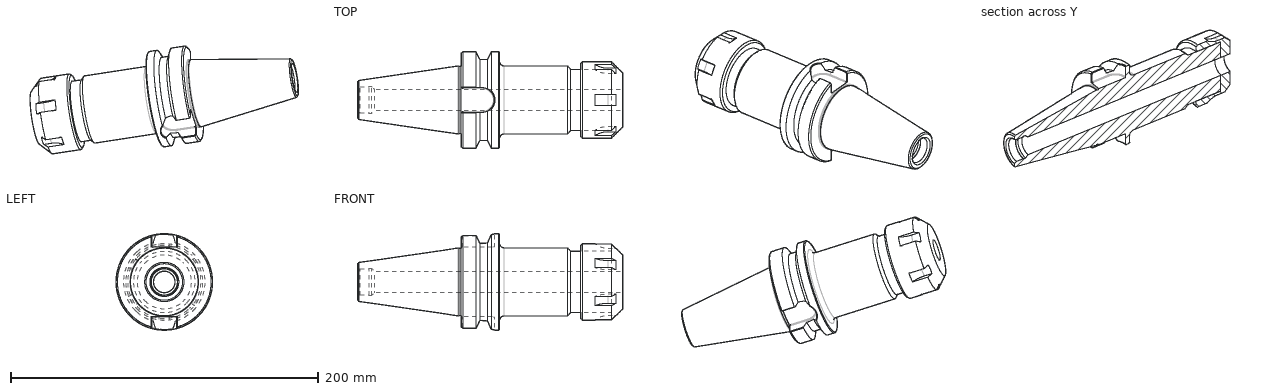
import cadquery as cq
import math

taper_length = 65.4
taper_ratio = 7 / 24
gauge_radius = 44.45 / 2
tip_x = -taper_length
tip_radius = gauge_radius - taper_length * taper_ratio / 2
tip_chamfer = 0.8

relief_start_x = 0.5
relief_radius = 43.94 / 2
relief_fillet = 0.5

flange_radius = 62.99 / 2
flange_start_x = 2.0
flange_end_x = 27.0
flange_front_chamfer = 1.0
flange_back_chamfer = 0.6
vee_x = 16.6
vee_floor_radius = 26.5
vee_floor_width = 5.0
vee_mouth_width = 9.9
vee_start_x = vee_x - vee_floor_width / 2
vee_end_x = vee_x + vee_floor_width / 2
vee_mouth_start_x = vee_x - vee_mouth_width / 2
vee_mouth_end_x = vee_x + vee_mouth_width / 2

slot_width = 16.1
slot_floor_z = 22.6
slot_end_x = 23.5
slot_floor_fillet = 0.5
slot_edge_chamfer = 0.5

body_radius = gauge_radius
body_fillet = 3.0
body_end_x = 71.2
neck_radius = 40 / 2
neck_start_x = 73.3

nut_radius = 50 / 2
nut_start_x = 79.8
nut_length = 27.39
nut_end_x = nut_start_x + nut_length
nut_back_chamfer = 1.2
nut_bevel = 7.4
nose_end_x = nut_end_x - nut_bevel

wrench_slot_count = 6
wrench_slot_width = 6.9
wrench_slot_start_x = 89.2
wrench_floor_start_x = 97.4
wrench_floor_z = 21.9

mouth_half_angle = math.radians(30)
bore_radius = 13.84 / 2
pilot_radius = 17.01 / 2
pilot_mouth_radius = 18.92 / 2
pilot_end_depth = 7.3
pilot_groove_radius = 17.62 / 2
pilot_groove_width = 1.8
mouth_depth = (pilot_mouth_radius - pilot_radius) / math.tan(mouth_half_angle)
groove_end_depth = pilot_end_depth + pilot_groove_width
pilot_cone_depth = pilot_groove_radius - bore_radius

cut_clearance = 1.0
pick_margin = 0.1


def turned(points):
    """Solid of revolution about X from a closed (x, radius) outline."""
    profile = cq.Workplane("XY").polyline(points).close()
    return profile.revolve(360, (0, 0, 0), (1, 0, 0))


def drive_slot():
    """Round-ended slot cutter on the +Z side, from the gauge plane into the flange."""
    end_radius = slot_width / 2
    depth = flange_radius - slot_floor_z + cut_clearance
    return (
        cq.Workplane("XY", origin=(0, 0, slot_floor_z))
        .moveTo(0, -end_radius)
        .lineTo(slot_end_x - end_radius, -end_radius)
        .threePointArc((slot_end_x, 0), (slot_end_x - end_radius, end_radius))
        .lineTo(0, end_radius)
        .close()
        .extrude(depth)
    )


def edges_in_box(solid, low_corner, high_corner):
    """Edges whose centres lie inside the box between two corners."""
    return solid.edges(cq.selectors.BoxSelector(low_corner, high_corner)).vals()


def slot_front_edges(holder):
    """Upright and outer edges where the slot walls meet the front land of the flange."""
    edges = []
    for wall_y in (-slot_width / 2, slot_width / 2):
        wall_edges = edges_in_box(
            holder,
            (flange_start_x - pick_margin, wall_y - pick_margin, -flange_radius),
            (vee_mouth_start_x - pick_margin, wall_y + pick_margin, flange_radius),
        )
        edges += [edge for edge in wall_edges if abs(edge.Center().z) > slot_floor_z + pick_margin]
    return edges


def slot_back_edges(holder):
    """Outer arcs where the round slot ends run out on the back land of the flange."""
    edges = []
    for land_z in (-flange_radius, flange_radius):
        edges += edges_in_box(
            holder,
            (vee_mouth_end_x + pick_margin, -slot_width / 2, land_z - slot_edge_chamfer),
            (slot_end_x + pick_margin, slot_width / 2, land_z + slot_edge_chamfer),
        )
    return edges


def slot_floor_edges(holder):
    """Edges where the slot floors meet the straight and round slot walls."""
    edges = []
    for floor_z in (-slot_floor_z, slot_floor_z):
        edges += edges_in_box(
            holder,
            (flange_start_x + slot_edge_chamfer + pick_margin, -slot_width, floor_z - pick_margin),
            (slot_end_x + pick_margin, slot_width, floor_z + pick_margin),
        )
    return edges


def make_holder():
    """Taper shank, flange, body and the nose that carries the nut."""
    outline = (
        cq.Workplane("XY")
        .moveTo(tip_x, 0)
        .lineTo(tip_x, tip_radius - tip_chamfer)
        .lineTo(tip_x + tip_chamfer, tip_radius + tip_chamfer * taper_ratio / 2)
        .lineTo(0, gauge_radius)
        .lineTo(relief_start_x, gauge_radius)
        .lineTo(relief_start_x, relief_radius)
        .lineTo(flange_start_x - relief_fillet, relief_radius)
        .radiusArc((flange_start_x, relief_radius + relief_fillet), -relief_fillet)
        .lineTo(flange_start_x, flange_radius - flange_front_chamfer)
        .lineTo(flange_start_x + flange_front_chamfer, flange_radius)
        .lineTo(vee_mouth_start_x, flange_radius)
        .lineTo(vee_start_x, vee_floor_radius)
        .lineTo(vee_end_x, vee_floor_radius)
        .lineTo(vee_mouth_end_x, flange_radius)
        .lineTo(flange_end_x - flange_back_chamfer, flange_radius)
        .lineTo(flange_end_x, flange_radius - flange_back_chamfer)
        .lineTo(flange_end_x, body_radius + body_fillet)
        .radiusArc((flange_end_x + body_fillet, body_radius), -body_fillet)
        .lineTo(body_end_x, body_radius)
        .lineTo(neck_start_x, neck_radius)
        .lineTo(nose_end_x, neck_radius)
        .lineTo(nose_end_x, 0)
        .close()
    )
    holder = outline.revolve(360, (0, 0, 0), (1, 0, 0))
    bore = turned([
        (tip_x, 0),
        (tip_x, pilot_mouth_radius),
        (tip_x + mouth_depth, pilot_radius),
        (tip_x + pilot_end_depth, pilot_radius),
        (tip_x + pilot_end_depth, pilot_groove_radius),
        (tip_x + groove_end_depth, pilot_groove_radius),
        (tip_x + groove_end_depth + pilot_cone_depth, bore_radius),
        (nose_end_x, bore_radius),
        (nose_end_x, 0),
    ])
    holder = holder.cut(bore)
    for angle in (0, 180):
        holder = holder.cut(drive_slot().rotate((0, 0, 0), (1, 0, 0), angle))
    holder = holder.newObject(slot_back_edges(holder)).chamfer(slot_edge_chamfer)
    holder = holder.newObject(slot_front_edges(holder)).chamfer(slot_edge_chamfer)
    return holder.newObject(slot_floor_edges(holder)).fillet(slot_floor_fillet)


def wrench_slot():
    """Cutter on the +Z side: an arc runs in from the nut surface to a flat floor."""
    run = wrench_floor_start_x - wrench_slot_start_x
    entry_z = math.sqrt(nut_radius**2 - (wrench_slot_width / 2)**2)
    drop = entry_z - wrench_floor_z
    arc_radius = (run**2 + drop**2) / (2 * drop)
    top_z = nut_radius + cut_clearance
    return (
        cq.Workplane("XZ", origin=(0, wrench_slot_width / 2, 0))
        .moveTo(wrench_slot_start_x, top_z)
        .lineTo(wrench_slot_start_x, entry_z)
        .radiusArc((wrench_floor_start_x, wrench_floor_z), -arc_radius)
        .lineTo(nut_end_x, wrench_floor_z)
        .lineTo(nut_end_x, top_z)
        .close()
        .extrude(wrench_slot_width)
    )


def make_nut():
    """Clamping nut seated over the holder nose."""
    nut = turned([
        (nut_start_x, neck_radius),
        (nut_start_x, nut_radius - nut_back_chamfer),
        (nut_start_x + nut_back_chamfer, nut_radius),
        (nut_end_x - nut_bevel, nut_radius),
        (nut_end_x, nut_radius - nut_bevel),
        (nut_end_x, bore_radius),
        (nose_end_x, bore_radius),
        (nose_end_x, neck_radius),
    ])
    for index in range(wrench_slot_count):
        angle = index * 360 / wrench_slot_count
        nut = nut.cut(wrench_slot().rotate((0, 0, 0), (1, 0, 0), angle))
    return nut


holder = make_holder()
nut = make_nut()

result = cq.Compound.makeCompound([holder.val(), nut.val()])